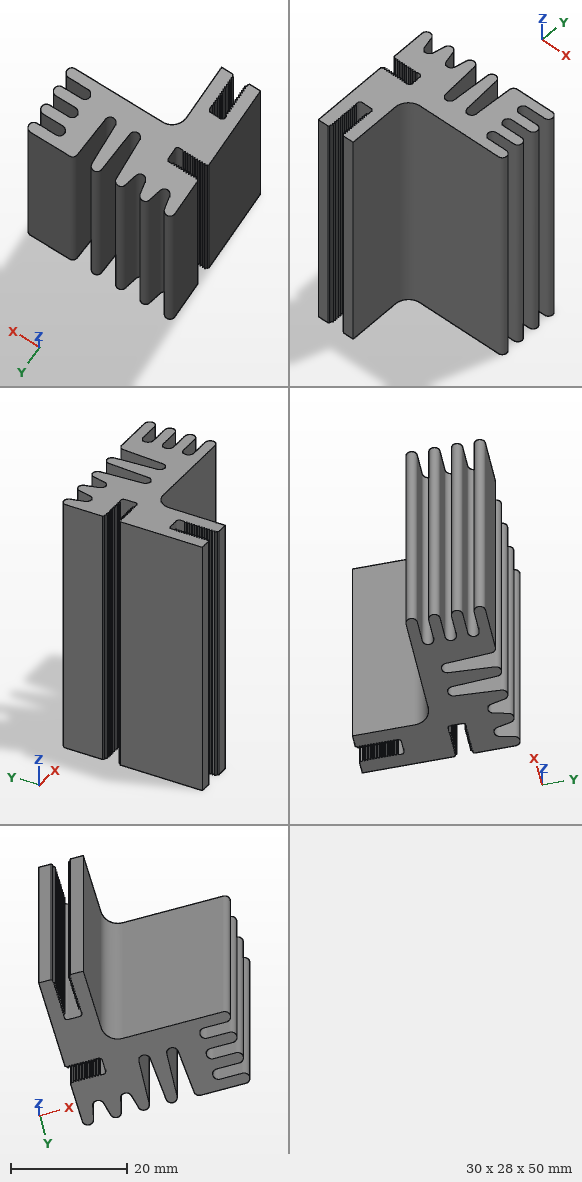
import cadquery as cq
import math

width = 30.0
depth = 28.0
length = 50.0
leg_width = 8.0
arm_thickness = 14.0
inner_corner_radius = 3.0

fin_radius = 1.0
back_fin_pitch = 5.0
end_fin_pitch = 4.0
shallow_gap_depth = 4.0
deep_gap_depth = 10.0
end_gap_depth = 6.0
shallow_gap_count = 2
deep_gap_count = 2
end_gap_count = 3

channel_root_width = 3.1
channel_crest_width = 2.5
channel_mouth_width = 3.5
channel_corner_radius = 0.5
thread_pitch = 0.5
crest_flat = 0.1
root_flat = 0.1
foot_channel_depth = 8.0
side_channel_depth = 6.5
channel_plain_end = 1.5
foot_channel_x = leg_width / 2
side_channel_y = 18.0


def make_body():
    """L-shaped bar with its long outer corners and its inner corner rounded."""
    outline = [
        (0, 0),
        (leg_width, 0),
        (leg_width, depth - arm_thickness),
        (width, depth - arm_thickness),
        (width, depth),
        (0, depth),
    ]
    body = cq.Workplane("XY").polyline(outline).close().extrude(length)

    inner_corner = cq.NearestToPointSelector((leg_width, depth - arm_thickness, length / 2))
    body = body.edges("|Z").edges(inner_corner).fillet(inner_corner_radius)
    for corner in [(0, depth), (width, depth), (width, depth - arm_thickness)]:
        corner_edge = cq.NearestToPointSelector((*corner, length / 2))
        body = body.edges("|Z").edges(corner_edge).fillet(fin_radius)
    return body


def make_fin_gap(pitch, gap_depth):
    """Gap between two fins, opening toward +Y with its mouth centred on the origin.

    The walls are the common tangents of the round fin tips and the round gap bottom.
    """
    half_pitch = pitch / 2
    tip_y = -fin_radius
    bottom_y = fin_radius - gap_depth
    rise = tip_y - bottom_y
    center_distance = math.hypot(half_pitch, rise)
    wall_angle = math.acos(2 * fin_radius / center_distance) - math.atan2(rise, half_pitch)

    def on_tip(angle):
        """Point on the right fin tip, at an angle from its innermost point toward the gap bottom."""
        return (half_pitch - fin_radius * math.cos(angle), tip_y - fin_radius * math.sin(angle))

    def mirrored(point):
        return (-point[0], point[1])

    tip_tangent = on_tip(-wall_angle)
    tip_middle = on_tip((-wall_angle - math.pi / 2) / 2)
    bottom_tangent = (
        fin_radius * math.cos(wall_angle),
        bottom_y - fin_radius * math.sin(wall_angle),
    )
    return (
        cq.Workplane("XY")
        .moveTo(half_pitch, 0)
        .threePointArc(tip_middle, tip_tangent)
        .lineTo(*bottom_tangent)
        .threePointArc((0, -gap_depth), mirrored(bottom_tangent))
        .lineTo(*mirrored(tip_tangent))
        .threePointArc(mirrored(tip_middle), (-half_pitch, 0))
        .close()
        .extrude(length)
    )


def serrated_wall(side, first_crest, channel_depth):
    """Wall points from the mouth inward; side is +1 or -1, crests stand one thread pitch apart."""
    mouth = side * channel_mouth_width / 2
    root = side * channel_root_width / 2
    crest = side * channel_crest_width / 2
    chamfer = (channel_mouth_width - channel_root_width) / 2
    crest_count = int((channel_depth - channel_plain_end) / thread_pitch)

    tooth_half_width = (thread_pitch - root_flat) / 2
    points = [(mouth, 0), (root, chamfer)]
    for index in range(crest_count):
        crest_y = first_crest + index * thread_pitch
        points.append((root, crest_y - tooth_half_width))
        points.append((crest, crest_y - crest_flat / 2))
        points.append((crest, crest_y + crest_flat / 2))
        points.append((root, crest_y + tooth_half_width))
    points.append((root, channel_depth))
    return points


def make_channel(channel_depth):
    """Screw channel running toward +Y from a mouth centred on the origin.

    The serrations of the two walls are half a pitch apart, like a cut through a thread.
    """
    left_wall = serrated_wall(-1, 1.5 * thread_pitch, channel_depth)
    right_wall = serrated_wall(1, thread_pitch, channel_depth)
    outline = left_wall + right_wall[::-1]
    channel = cq.Workplane("XY").polyline(outline).close().extrude(length)
    return channel.faces(">Y").edges("|Z").fillet(channel_corner_radius)


def turn_clockwise(tool):
    """Quarter turn about Z that points +Y toward +X."""
    return tool.rotate((0, 0, 0), (0, 0, 1), -90)


result = make_body()

back_gap_depths = [shallow_gap_depth] * shallow_gap_count + [deep_gap_depth] * deep_gap_count
for index, gap_depth in enumerate(back_gap_depths):
    gap_x = fin_radius + (index + 0.5) * back_fin_pitch
    gap = make_fin_gap(back_fin_pitch, gap_depth)
    result = result.cut(gap.translate((gap_x, depth, 0)))

end_gap = turn_clockwise(make_fin_gap(end_fin_pitch, end_gap_depth))
for index in range(end_gap_count):
    gap_y = depth - fin_radius - (index + 0.5) * end_fin_pitch
    result = result.cut(end_gap.translate((width, gap_y, 0)))

foot_channel = make_channel(foot_channel_depth)
result = result.cut(foot_channel.translate((foot_channel_x, 0, 0)))

side_channel = turn_clockwise(make_channel(side_channel_depth))
result = result.cut(side_channel.translate((0, side_channel_y, 0)))